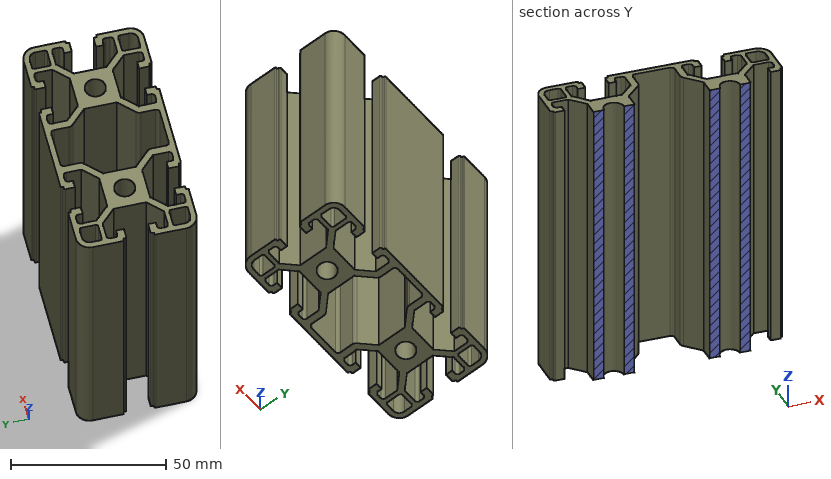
import cadquery as cq
length = 100.0
module = 40.0
half_module = module / 2
width = 2 * module
half_width = width / 2
corner_radius = 4.5
wall = 2.0

bore_diameter = 6.8
core_half = 7.1
core_flat_half = 5.4
core_centers = [-module / 2, module / 2]

slot_half = 4.0
slot_depth = half_module - core_half
lip_depth = 4.5
lip_width = 2.6
lip_step_width = 1.1
lip_step_depth = 0.9
lip_nose_radius = 0.4
lip_shoulder_radius = 0.3
lip_step_fillet = 0.3
groove_half = 10.2
groove_fillet = 1.1
groove_flank_depth = slot_depth - (groove_half - core_flat_half)

cell_wall = 1.6
cell_fillet = 0.8
cell_size = half_module - wall - (groove_half + cell_wall)

chamber_web = 2.6
chamber_fillet = 1.2
chamber_shoulder_radius = 2.0
chamber_half_depth = half_module - wall
chamber_half_width = module / 2 - groove_half - chamber_web
chamber_waist_half_width = module / 2 - core_half
chamber_shoulder = core_flat_half + chamber_waist_half_width - chamber_half_width


def mirrored_prism(half_outline):
    """Full-length prism from the +X half of its outline, mirrored about the Y axis."""
    other_half = [(-x, y) for x, y in reversed(half_outline)]
    return cq.Workplane("XY").polyline(half_outline + other_half).close().extrude(length)


def make_slot():
    """T-slot cutter with its mouth at y = 0, reaching down towards -Y."""
    mouth_half = slot_half + lip_step_width
    mouth_side = (
        cq.Workplane("XY")
        .lineTo(mouth_half + lip_shoulder_radius, 0)
        .radiusArc((mouth_half, -lip_shoulder_radius), -lip_shoulder_radius)
        .lineTo(mouth_half, -lip_step_depth + lip_step_fillet)
        .radiusArc((mouth_half - lip_step_fillet, -lip_step_depth), lip_step_fillet)
        .lineTo(slot_half + lip_nose_radius, -lip_step_depth)
        .radiusArc((slot_half, -lip_step_depth - lip_nose_radius), -lip_nose_radius)
        .lineTo(slot_half, -slot_depth)
        .lineTo(0, -slot_depth)
        .close()
        .extrude(length)
    )

    undercut_width = groove_half - slot_half - lip_width
    undercut = (
        cq.Workplane("XY")
        .box(undercut_width, groove_flank_depth - wall, length, centered=False)
        .edges("|Z and >Y")
        .fillet(groove_fillet)
        .translate((slot_half + lip_width, -groove_flank_depth, 0))
    )
    slot_side = mouth_side.union(undercut)

    groove = mirrored_prism(
        [
            (groove_half, -lip_depth),
            (groove_half, -groove_flank_depth),
            (core_flat_half, -slot_depth),
        ]
    )
    return groove.union(slot_side).union(slot_side.mirror("YZ"))


def make_corner_cell():
    """Hollow cell in the +X, +Y corner, concentric with the outer corner."""
    cell = cq.Workplane("XY").box(cell_size, cell_size, length, centered=False)
    cell = cell.edges("|Z and >X and >Y").fillet(corner_radius - wall)
    cell = cell.edges("|Z and (<X or <Y)").fillet(cell_fillet)
    return cell.translate((half_width - wall - cell_size, half_module - wall - cell_size, 0))


def make_chamber():
    """Central hollow, waisted outwards between the two cores."""
    chamber = mirrored_prism(
        [
            (chamber_half_width, chamber_half_depth),
            (chamber_half_width, chamber_shoulder),
            (chamber_waist_half_width, core_flat_half),
            (chamber_waist_half_width, -core_flat_half),
            (chamber_half_width, -chamber_shoulder),
            (chamber_half_width, -chamber_half_depth),
        ]
    )
    chamber = chamber.faces("<Y or >Y").edges("|Z").fillet(chamber_fillet)
    shoulder_points = [
        (x, y, length / 2)
        for x in (-chamber_half_width, chamber_half_width)
        for y in (-chamber_shoulder, chamber_shoulder)
    ]
    for point in shoulder_points:
        nearest = cq.selectors.NearestToPointSelector(point)
        chamber = chamber.edges("|Z").edges(nearest).fillet(chamber_shoulder_radius)
    return chamber


result = cq.Workplane("XY").rect(width, module).extrude(length)
result = result.edges("|Z").fillet(corner_radius)

slot = make_slot()
for center_x in core_centers:
    side_slot = slot.translate((center_x, half_module, 0))
    result = result.cut(side_slot).cut(side_slot.mirror("XZ"))

end_slot = slot.rotate((0, 0, 0), (0, 0, 1), -90).translate((half_width, 0, 0))
result = result.cut(end_slot).cut(end_slot.mirror("YZ"))

cell = make_corner_cell()
cell_pair = cell.union(cell.mirror("YZ"))
result = result.cut(cell_pair).cut(cell_pair.mirror("XZ"))

result = result.cut(make_chamber())

bore_points = [(center_x, 0) for center_x in core_centers]
bores = cq.Workplane("XY").pushPoints(bore_points).circle(bore_diameter / 2).extrude(length)
result = result.cut(bores)